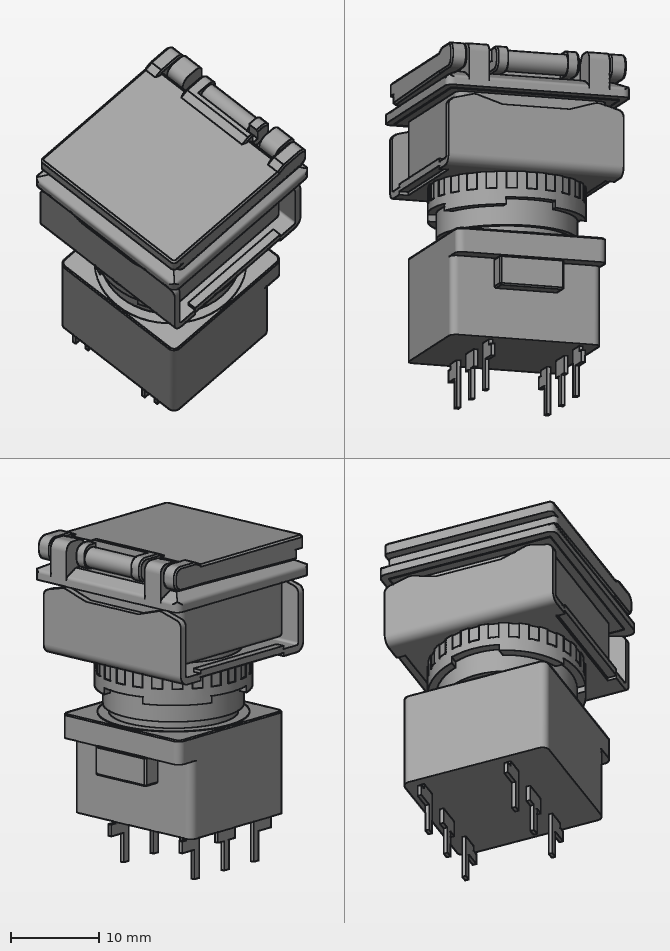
import cadquery as cq

block_bottom = 5.5
lever_bottom = 11.2
overhang_bottom = 14.65
block_top = 17.52
barrel_bottom = 18.53
nut_bottom = 20.73
clip_bottom = 24.55
housing_bottom = 26.25
bezel_bottom = 33.45
bezel_top = 35.4
lid_top = 38.18
hinge_top = 38.6

bezel_half = 11.0
bezel_back = 11.5
bezel_corner = 0.9
bezel_slope_width = 1.62
bezel_slope_height = 0.85
bezel_edge_radius = 0.45
gasket_half = 10.07
gasket_thickness = 0.1

knuckle_inner = 6.0
knuckle_outer = 8.4
knuckle_front = 8.38
knuckle_radius = 1.05

body_half = 9.0
housing_corner = 0.95
housing_bottom_radius = 0.45
collar_radius = 7.87
barrel_radius = 8.03
neck_radius = 7.37

block_front = -8.88
block_back = 6.95
block_corner = 0.85
block_edge = 0.15
boss_radius = 8.65
boss_height = 0.08
lever_half_width = 3.85
lever_edge = 0.2

pin_thickness = 0.45
pin_columns = (-6.95, 3.85)
pin_middle_y = -1.05
pin_pitch = 5.0
stem_width = 0.85
head_width = 2.95
root_width = 2.2
head_bottom = 3.47
head_top = 4.85

nut_radius = body_half
notch_count = 24
notch_width = 1.25
notch_depth = 0.15
notch_height = 1.93
window_width = 5.9
window_height = 0.8

clip_half_x = 10.5
clip_half_y = 10.4
clip_thickness = 0.85
clip_bend_radius = 1.15
clip_side_top = 32.05
clip_peak_x = 7.35
clip_peak_top = 32.85
clip_dip_x = 4.0
clip_dip_top = 31.85
clip_corner = 0.85
clip_peak_radius = 1.15
emboss_length = 14.05
emboss_width = 1.1
emboss_height = 0.4

lid_half = 10.5
lid_front = -10.5
lid_skirt_front = -9.5
lid_lip_bottom = 36.67
lid_bottom_front = 35.45
lid_bottom_back = 35.75
lid_corner = 0.5
lid_edge = 0.25
lug_back = 11.4
lug_radius = 1.15
lug_edge = 0.2
lug_inner = 8.6
ramp_front = 6.8
ramp_back = 7.8
lid_plate_back = 8.0
plate_back_edge = 0.35
tab_half = 4.95
tab_back = 11.15
bar_half = 3.6
bar_y = 9.85
bar_z = 37.05
bar_radius = 1.2
tab_slot_front = 8.38
short_lug_front = 9.2


def box(x0, x1, y0, y1, z0, z1):
    """Box given by its limits along each axis."""
    return cq.Workplane("XY").box(x1 - x0, y1 - y0, z1 - z0, centered=False).translate((x0, y0, z0))


def cylinder(radius, z0, z1):
    """Cylinder on the barrel axis."""
    return cq.Workplane("XY").workplane(offset=z0).circle(radius).extrude(z1 - z0)


def rim_profile(plane, low, high, length):
    """Bar along one axis whose section has a flat bottom, a raised flat top and sloped, rounded rims."""
    rim = bezel_top - bezel_slope_height
    outline = [
        (low, bezel_bottom), (high, bezel_bottom), (high, rim), (high - bezel_slope_width, bezel_top),
        (low + bezel_slope_width, bezel_top), (low, rim),
    ]
    bar = cq.Workplane(plane).polyline(outline).close().extrude(length, both=True)
    for edge in (low, high):
        point = cq.Workplane(plane).center(edge, rim).val().toTuple()
        bar = bar.edges(cq.selectors.NearestToPointSelector(point)).fillet(bezel_edge_radius)
    return bar


def make_bezel():
    """Flange with a sloped, rounded rim and a thin gasket step under it."""
    bezel = box(-bezel_half, bezel_half, -bezel_half, bezel_back, bezel_bottom, bezel_top)
    bezel = bezel.edges("|Z").fillet(bezel_corner)
    bezel = bezel.intersect(rim_profile("XZ", -bezel_half, bezel_half, bezel_back))
    bezel = bezel.intersect(rim_profile("YZ", -bezel_half, bezel_back, bezel_half))
    gasket = box(
        -gasket_half, gasket_half, -gasket_half, gasket_half, bezel_bottom - gasket_thickness, bezel_bottom
    )
    return bezel.union(gasket)


def make_knuckle(x0):
    """Fixed hinge knuckle standing on the back of the bezel, rounded along its top."""
    knuckle = box(x0, x0 + knuckle_outer - knuckle_inner, knuckle_front, bezel_back, bezel_bottom, hinge_top)
    return knuckle.faces(">Z").edges("|X").fillet(knuckle_radius)


def make_block():
    """Contact block with a stepped back and a latch lever under the overhang."""
    base = box(-body_half, body_half, block_front, block_back, block_bottom, overhang_bottom)
    base = base.edges("|Z").fillet(block_corner)
    head = box(-body_half, body_half, block_front, body_half, overhang_bottom, block_top)
    head = head.edges("|Z").fillet(block_corner).faces(">Z").edges().chamfer(block_edge)
    lever = box(-lever_half_width, lever_half_width, 0, body_half, lever_bottom, overhang_bottom)
    lever = lever.edges().chamfer(lever_edge)
    return base.union(head).union(lever)


def make_pin(x, row):
    """Flat pin; row is -1, 0 or 1, and the outer rows have their heads stepped outwards."""
    half = stem_width / 2
    if row == 0:
        outline = [
            (-half, 0), (half, 0), (half, head_bottom), (head_width / 2, head_bottom),
            (head_width / 2, block_bottom), (-head_width / 2, block_bottom),
            (-head_width / 2, head_bottom), (-half, head_bottom),
        ]
    else:
        outline = [
            (-half, 0), (half, 0), (half, head_bottom), (head_width - half, head_bottom),
            (head_width - half, head_top), (root_width - half, head_top),
            (root_width - half, block_bottom), (-half, block_bottom),
        ]
        outline = [(row * y, z) for y, z in outline]
    pin = cq.Workplane("YZ").polyline(outline).close().extrude(pin_thickness)
    return pin.translate((x - pin_thickness / 2, pin_middle_y + row * pin_pitch, 0))


def make_switch():
    """Bezel, housing, barrel, contact block and pins in one piece."""
    housing = box(-body_half, body_half, -body_half, body_half, housing_bottom, bezel_bottom)
    housing = housing.edges("|Z").fillet(housing_corner).faces("<Z").edges().fillet(housing_bottom_radius)
    switch = make_bezel().union(housing)
    for x0 in (-knuckle_outer, knuckle_inner):
        switch = switch.union(make_knuckle(x0))
    switch = switch.union(cylinder(collar_radius, clip_bottom, housing_bottom))
    switch = switch.union(cylinder(barrel_radius, barrel_bottom, clip_bottom))
    switch = switch.union(cylinder(neck_radius, block_top, barrel_bottom))
    switch = switch.union(cylinder(boss_radius, block_top, block_top + boss_height))
    switch = switch.union(make_block())
    for x in pin_columns:
        for row in (-1, 0, 1):
            switch = switch.union(make_pin(x, row))
    return switch


def make_nut():
    """Ring nut with notches round its top and four windows in its bottom edge."""
    nut = cylinder(nut_radius, nut_bottom, clip_bottom).cut(cylinder(barrel_radius, nut_bottom, clip_bottom))
    notch = box(
        nut_radius - notch_depth, nut_radius + notch_depth, -notch_width / 2, notch_width / 2,
        clip_bottom - notch_height, clip_bottom,
    )
    for i in range(notch_count):
        nut = nut.cut(notch.rotate((0, 0, 0), (0, 0, 1), i * 360 / notch_count))
    half = window_width / 2
    window = box(-nut_radius, nut_radius, -half, half, nut_bottom, nut_bottom + window_height)
    for angle in (0, 90):
        nut = nut.cut(window.rotate((0, 0, 0), (0, 0, 1), angle))
    return nut


def make_clip():
    """U-shaped panel clip with wavy upper edges and embossed strips along its floor edges."""
    blank = box(-clip_half_x, clip_half_x, -clip_half_y, clip_half_y, clip_bottom, clip_peak_top)
    blank = blank.faces("<Z").edges("|X").fillet(clip_bend_radius)
    inner_half = clip_half_y - clip_thickness
    inside = box(
        -clip_half_x, clip_half_x, -inner_half, inner_half, clip_bottom + clip_thickness, clip_peak_top
    )
    inside = inside.faces("<Z").edges("|X").fillet(clip_bend_radius - clip_thickness)
    right_edge = [(clip_dip_x, clip_dip_top), (clip_peak_x, clip_peak_top), (clip_half_x, clip_side_top)]
    left_edge = [(-x, z) for x, z in right_edge[::-1]]
    bottom_edge = [(-clip_half_x, clip_bottom), (clip_half_x, clip_bottom)]
    outline = bottom_edge + right_edge[::-1] + left_edge[::-1]
    profile = cq.Workplane("XZ").polyline(outline).close().extrude(clip_half_y, both=True)
    for x in (-clip_half_x, clip_half_x):
        corner = cq.selectors.NearestToPointSelector((x, 0, clip_side_top))
        profile = profile.edges(corner).fillet(clip_corner)
    for x in (-clip_peak_x, clip_peak_x):
        peak = cq.selectors.NearestToPointSelector((x, 0, clip_peak_top))
        profile = profile.edges(peak).fillet(clip_peak_radius)
    clip = blank.cut(inside).intersect(profile)

    floor_top = clip_bottom + clip_thickness
    half = emboss_length / 2
    for x0 in (-clip_half_x, clip_half_x - emboss_width):
        x1 = x0 + emboss_width
        clip = clip.union(box(x0, x1, -half, half, floor_top, floor_top + emboss_height))
        clip = clip.cut(box(x0, x1, -half, half, clip_bottom, clip_bottom + emboss_height))
    return clip.cut(cylinder(collar_radius, clip_bottom, clip_peak_top))


def make_plate():
    """Flat cover with a stepped front lip and an underside that rises towards the hinge."""
    outline = [
        (lid_front, lid_lip_bottom), (lid_skirt_front, lid_lip_bottom), (lid_skirt_front, lid_bottom_front),
        (lid_plate_back, lid_bottom_back), (lid_plate_back, lid_top), (lid_front, lid_top),
    ]
    plate = cq.Workplane("YZ").polyline(outline).close().extrude(lid_half, both=True)
    plate = plate.edges(">Y and >Z").chamfer(plate_back_edge)
    plate = plate.edges("|Z and <Y").fillet(lid_corner)
    for x in (-lid_half, lid_half):
        skirt_corner = (x, lid_skirt_front, (lid_lip_bottom + lid_bottom_front) / 2)
        plate = plate.edges(cq.selectors.NearestToPointSelector(skirt_corner)).fillet(lid_corner)
    return plate.faces("<X or >X").edges(">Z or <Z").chamfer(lid_edge)


def make_lug(x0, x1, back):
    """Hinge lug with a ramp down to the cover, a rounded back and chamfered sides."""
    outline = [
        (ramp_front, lid_bottom_back), (back, lid_bottom_back), (back, hinge_top),
        (ramp_back, hinge_top), (ramp_front, lid_top),
    ]
    lug = cq.Workplane("YZ").polyline(outline).close().extrude(x1 - x0).translate((x0, 0, 0))
    lug = lug.faces(">Y").edges("|X").fillet(lug_radius)
    return lug.faces("<X or >X").edges().chamfer(lug_edge)


def make_lid():
    """Guard lid with two end lugs and a slotted middle tab that carries a round bar."""
    tab = make_lug(-tab_half, tab_half, tab_back)
    tab = tab.cut(box(-bar_half, bar_half, tab_slot_front, lug_back, lid_bottom_back, hinge_top))
    tab = tab.cut(box(bar_half, tab_half, tab_slot_front, short_lug_front, bar_z, hinge_top))
    bar = cq.Workplane("YZ").center(bar_y, bar_z).circle(bar_radius).extrude(2 * bar_half)
    lid = make_plate().union(tab).union(bar.translate((-bar_half, 0, 0)))
    lid = lid.union(make_lug(-lid_half, -lug_inner, lug_back))
    return lid.union(make_lug(lug_inner, lid_half, lug_back))


switch = make_switch()
nut = make_nut()
clip = make_clip()
lid = make_lid()

result = cq.Compound.makeCompound([switch.val(), nut.val(), clip.val(), lid.val()])